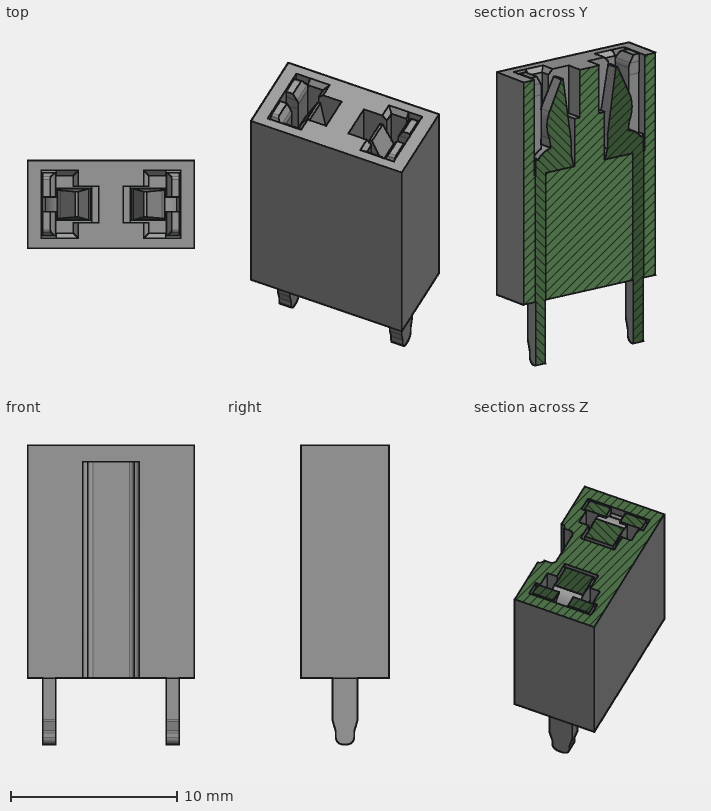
import cadquery as cq
import math

WIDTH = 10.0
DEPTH = 5.3
TOTAL_HEIGHT = 18
PIN_LENGTH = 4.0
HEIGHT = TOTAL_HEIGHT - PIN_LENGTH

GROOVE_HALF_WIDTH = 1.7
GROOVE_DEPTH = 0.97
GROOVE_TOP_MARGIN = 0.99
GROOVE_SIDE_WIDTH = 0.6
GROOVE_FILLET = GROOVE_SIDE_WIDTH / 2

CAVITY_OUTER_X = 4.18
CAVITY_STEP_X = 3.28
CAVITY_INNER_X = 1.96
CAVITY_HALF_Y = 2.03
CAVITY_CHAMFER = 0.3
CAVITY_CHAMFER_ANGLE = 45
CAVITY_DEPTH = 6.0
KEYWAY_HALF_Y = 1.1
KEYWAY_INNER_X = 1.15
SHELF_INNER_X = 0.74
SHELF_DEPTH = 3.0
FLOOR_Z = HEIGHT - CAVITY_DEPTH

PLATE_OUTER_X = 4.1
PLATE_THICKNESS = 0.8
PLATE_INNER_X = PLATE_OUTER_X - PLATE_THICKNESS
PLATE_HALF_Y = 1.89
FORK_HALF_GAP = 0.43
FORK_WIDE_HALF_GAP = 0.47
FORK_WIDE_DEPTH = 1.2
LEAD_IN_ANGLE = 30
LEAD_IN_DEPTH = 0.45
LEAD_IN_WIDTH = LEAD_IN_DEPTH * math.tan(math.radians(LEAD_IN_ANGLE))
LEAD_IN_RADIUS = 0.61
END_FILLET = 0.2

PIN_HALF_Y = 0.75
PIN_TIP_HALF_Y = 0.55
PIN_TAPER_START_Z = -2.54
PIN_TAPER_END_Z = -3.2
PIN_FILLET = 0.45

SEAT_DIAMETER = 3.0
SEAT_RADIUS = SEAT_DIAMETER / 2
SEAT_CENTRE_X = 2.72
SEAT_HALF_Y = 0.95
LIP_RADIUS = 0.16
TONGUE_TOP_MARGIN = 0.36
TONGUE_TOP_Z = HEIGHT - TONGUE_TOP_MARGIN
TONGUE_TIP_HALF_Y = 0.75
TONGUE_BASE_HALF_Y = 0.94
TONGUE_FRONT_X = 2.15
TONGUE_BACK_X = 1.98
TONGUE_BACK_BASE_X = 1.35
TONGUE_BEND_X = 3.05
TONGUE_BULGE_X = 3.24
TONGUE_LEAN = 26


def block(x_min, x_max, half_y, z_min, z_max):
    """Box centred on Y = 0."""
    return (
        cq.Workplane("XY")
        .box(x_max - x_min, 2 * half_y, z_max - z_min, centered=(False, True, False))
        .translate((x_min, 0, z_min))
    )


def cylinder_along_y(radius, x, z, half_y):
    return cq.Workplane("XZ", origin=(x, half_y, z)).circle(radius).extrude(2 * half_y)


def front_groove():
    """Groove open at the underside; each side wall runs in through two quarter rounds."""
    front_y = -DEPTH / 2
    floor_y = front_y + GROOVE_DEPTH
    r = GROOVE_FILLET
    wall_x = GROOVE_HALF_WIDTH - r
    floor_x = wall_x - r
    return (
        cq.Workplane("XY")
        .moveTo(-GROOVE_HALF_WIDTH, front_y)
        .radiusArc((-wall_x, front_y + r), r)
        .lineTo(-wall_x, floor_y - r)
        .radiusArc((-floor_x, floor_y), r)
        .lineTo(floor_x, floor_y)
        .radiusArc((wall_x, floor_y - r), r)
        .lineTo(wall_x, front_y + r)
        .radiusArc((GROOVE_HALF_WIDTH, front_y), r)
        .close()
        .extrude(HEIGHT - GROOVE_TOP_MARGIN)
    )


def left_cavity():
    """Stepped pocket for the left contact, including the hole for its pin."""
    fork_pocket = block(-CAVITY_OUTER_X, -CAVITY_STEP_X, CAVITY_HALF_Y, FLOOR_Z, HEIGHT)

    inner_x = CAVITY_INNER_X + CAVITY_CHAMFER
    well_half_y = CAVITY_HALF_Y - CAVITY_CHAMFER
    well = block(-CAVITY_STEP_X, -inner_x, well_half_y, FLOOR_Z, HEIGHT)

    frustum_length = 2 * (CAVITY_STEP_X - CAVITY_INNER_X)
    entry = (
        cq.Workplane("XY", origin=(-CAVITY_STEP_X, 0, HEIGHT))
        .rect(frustum_length, 2 * CAVITY_HALF_Y)
        .extrude(-CAVITY_CHAMFER, taper=CAVITY_CHAMFER_ANGLE)
        .intersect(block(-CAVITY_STEP_X, 0, CAVITY_HALF_Y, FLOOR_Z, HEIGHT))
    )

    keyway = block(-CAVITY_STEP_X, -KEYWAY_INNER_X, KEYWAY_HALF_Y, FLOOR_Z, HEIGHT)
    shelf = block(-KEYWAY_INNER_X, -SHELF_INNER_X, KEYWAY_HALF_Y, HEIGHT - SHELF_DEPTH, HEIGHT)
    pin_hole = block(-PLATE_OUTER_X, -PLATE_INNER_X, PIN_HALF_Y, 0, FLOOR_Z)
    return fork_pocket.union(well).union(entry).union(keyway).union(shelf).union(pin_hole)


def make_housing():
    cavity = left_cavity()
    body = cq.Workplane("XY").box(WIDTH, DEPTH, HEIGHT, centered=(True, True, False))
    return body.cut(front_groove()).cut(cavity).cut(cavity.mirror("YZ"))


def fork_plate():
    """Wide plate in the cavity: lead-ins at the top, rounded where they meet the inner face."""
    angle = math.radians(LEAD_IN_ANGLE)
    round_width = LEAD_IN_RADIUS * (1 - math.cos(angle))
    round_end_z = HEIGHT - LEAD_IN_DEPTH - LEAD_IN_RADIUS * math.sin(angle)
    lead_in_end_x = -PLATE_INNER_X - round_width
    side_profile = (
        cq.Workplane("XZ", origin=(0, PLATE_HALF_Y, 0))
        .moveTo(-PLATE_OUTER_X, FLOOR_Z)
        .lineTo(-PLATE_OUTER_X, HEIGHT)
        .lineTo(lead_in_end_x - LEAD_IN_WIDTH, HEIGHT)
        .lineTo(lead_in_end_x, HEIGHT - LEAD_IN_DEPTH)
        .radiusArc((-PLATE_INNER_X, round_end_z), LEAD_IN_RADIUS)
        .lineTo(-PLATE_INNER_X, FLOOR_Z)
        .close()
        .extrude(2 * PLATE_HALF_Y)
    )
    top_half_y = PLATE_HALF_Y - LEAD_IN_WIDTH
    face_outline = (
        cq.Workplane("YZ", origin=(-PLATE_OUTER_X, 0, 0))
        .polyline([
            (-PLATE_HALF_Y, FLOOR_Z),
            (PLATE_HALF_Y, FLOOR_Z),
            (PLATE_HALF_Y, HEIGHT - LEAD_IN_DEPTH),
            (top_half_y, HEIGHT),
            (-top_half_y, HEIGHT),
            (-PLATE_HALF_Y, HEIGHT - LEAD_IN_DEPTH),
        ])
        .close()
        .extrude(PLATE_THICKNESS)
        .faces(">Z").edges("|X").fillet(END_FILLET)
    )
    return side_profile.intersect(face_outline)


def pin():
    return (
        cq.Workplane("YZ", origin=(-PLATE_OUTER_X, 0, 0))
        .polyline([
            (-PIN_HALF_Y, FLOOR_Z),
            (PIN_HALF_Y, FLOOR_Z),
            (PIN_HALF_Y, PIN_TAPER_START_Z),
            (PIN_TIP_HALF_Y, PIN_TAPER_END_Z),
            (PIN_TIP_HALF_Y, -PIN_LENGTH),
            (-PIN_TIP_HALF_Y, -PIN_LENGTH),
            (-PIN_TIP_HALF_Y, PIN_TAPER_END_Z),
            (-PIN_HALF_Y, PIN_TAPER_START_Z),
        ])
        .close()
        .extrude(PLATE_THICKNESS)
        .edges("|X").edges("not >Z").fillet(PIN_FILLET)
    )


def fork_gap(bottom_z):
    """Gap between the tines, wider lower down, with a rounded lip at the outer edge of its floor."""
    gap = (
        cq.Workplane("YZ", origin=(-PLATE_OUTER_X, 0, 0))
        .polyline([
            (-FORK_WIDE_HALF_GAP, bottom_z),
            (FORK_WIDE_HALF_GAP, bottom_z),
            (FORK_WIDE_HALF_GAP, HEIGHT - FORK_WIDE_DEPTH),
            (FORK_HALF_GAP, HEIGHT - LEAD_IN_DEPTH),
            (FORK_HALF_GAP, HEIGHT),
            (-FORK_HALF_GAP, HEIGHT),
            (-FORK_HALF_GAP, HEIGHT - LEAD_IN_DEPTH),
            (-FORK_WIDE_HALF_GAP, HEIGHT - FORK_WIDE_DEPTH),
        ])
        .close()
        .extrude(PLATE_THICKNESS)
    )
    return gap.cut(cylinder_along_y(LIP_RADIUS, -PLATE_OUTER_X, bottom_z, FORK_WIDE_HALF_GAP))


def round_seat():
    """Half cylinder standing on the cavity floor, cut flush with the plate's outer face."""
    envelope = block(-PLATE_OUTER_X, 0, SEAT_HALF_Y, FLOOR_Z, HEIGHT)
    return cylinder_along_y(SEAT_RADIUS, -SEAT_CENTRE_X, FLOOR_Z, SEAT_HALF_Y).intersect(envelope)


def tongue():
    """Wedge standing on the seat; its front bulges out towards the plate."""
    lean = math.radians(TONGUE_LEAN)
    bulge = TONGUE_BULGE_X - TONGUE_BEND_X
    bulge_radius = bulge / (1 - math.cos(lean))
    bend_z = TONGUE_TOP_Z - (TONGUE_BEND_X - TONGUE_FRONT_X) / math.tan(lean)
    bulge_half_height = bulge_radius * math.sin(lean)
    bulge_z = bend_z - bulge_half_height
    bulge_end_z = bulge_z - bulge_half_height
    seat_top_z = FLOOR_Z + SEAT_RADIUS
    profile = (
        cq.Workplane("XZ", origin=(0, TONGUE_BASE_HALF_Y, 0))
        .moveTo(-TONGUE_BACK_X, TONGUE_TOP_Z)
        .lineTo(-TONGUE_FRONT_X, TONGUE_TOP_Z)
        .lineTo(-TONGUE_BEND_X, bend_z)
        .threePointArc((-TONGUE_BULGE_X, bulge_z), (-TONGUE_BEND_X, bulge_end_z))
        .lineTo(-SEAT_CENTRE_X, FLOOR_Z)
        .lineTo(-TONGUE_BACK_BASE_X, FLOOR_Z)
        .lineTo(-TONGUE_BACK_BASE_X, seat_top_z)
        .close()
        .extrude(2 * TONGUE_BASE_HALF_Y)
    )
    taper = (
        cq.Workplane("YZ", origin=(-PLATE_OUTER_X, 0, 0))
        .polyline([
            (-TONGUE_BASE_HALF_Y, FLOOR_Z),
            (TONGUE_BASE_HALF_Y, FLOOR_Z),
            (TONGUE_BASE_HALF_Y, seat_top_z),
            (TONGUE_TIP_HALF_Y, TONGUE_TOP_Z),
            (-TONGUE_TIP_HALF_Y, TONGUE_TOP_Z),
            (-TONGUE_BASE_HALF_Y, seat_top_z),
        ])
        .close()
        .extrude(PLATE_OUTER_X)
    )
    return profile.intersect(taper)


def make_left_contact():
    valley_offset = PLATE_OUTER_X - LIP_RADIUS - SEAT_CENTRE_X
    gap_floor_z = FLOOR_Z + math.sqrt(SEAT_RADIUS**2 - valley_offset**2)
    plate = fork_plate().cut(fork_gap(gap_floor_z))
    return plate.union(pin()).union(round_seat()).union(tongue())


housing = make_housing()
left_contact = make_left_contact()
contacts = [left_contact, left_contact.mirror("YZ")]

result = cq.Compound.makeCompound([housing.val(), *[contact.val() for contact in contacts]])